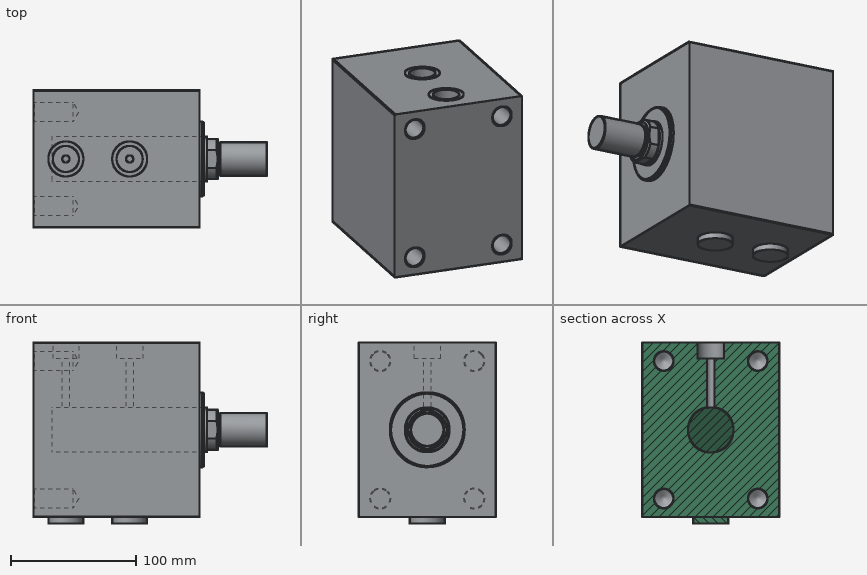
import cadquery as cq
import math


HOUSING_LENGTH = 133.0
HOUSING_WIDTH = 110.0
HOUSING_HEIGHT = 139.9
EDGE_CHAMFER = 0.5

MOUNT_SPACING_Y = 75.2
MOUNT_SPACING_Z = 110.0
MOUNT_RADIUS = 7.7
MOUNT_RIM_CHAMFER = 0.7
MOUNT_DEPTH = 31.8
DRILL_POINT_ANGLE = 118.0

PORT_STATIONS = (26.0, 77.0)
SPOTFACE_DIAMETER = 28.0
SPOTFACE_DEPTH = 0.1
PORT_DIAMETER = 21.0
PORT_DEPTH = 12.9
PASSAGE_DIAMETER = 5.8

PLUG_DIAMETER = SPOTFACE_DIAMETER
PLUG_HEIGHT = 5.0

GLAND_DIAMETER = 60.0
GLAND_THICKNESS = 3.4
GLAND_CHAMFER_LENGTH = 1.3
GLAND_CHAMFER_DEPTH = 1.1

ROD_START = 15.0
ROD_DIAMETER = 35.9
ROD_COLLAR_LENGTH = 2.5
WRENCH_START = HOUSING_LENGTH + GLAND_THICKNESS + ROD_COLLAR_LENGTH
WRENCH_DIAMETER = 35.2
WRENCH_ACROSS_FLATS = 32.2
WRENCH_END = 147.7
WRENCH_CHAMFER_LENGTH = 1.3
WRENCH_CHAMFER_DEPTH = 2.2
NECK_DIAMETER = 25.5
THREAD_START = 149.2
THREAD_DIAMETER = 27.0
THREAD_CHAMFER = 0.5
ROD_END = 187.0


def axial_cylinder(diameter, start, end):
    """Cylinder on the X axis between two stations."""
    return cq.Workplane("YZ", origin=(start, 0, 0)).circle(diameter / 2).extrude(end - start)


def end_chamfered_cylinder(diameter, start, end, chamfer_length, chamfer_depth):
    """Cylinder on the X axis whose far rim is bevelled by a given length along X and depth in radius."""
    radius = diameter / 2
    profile = [
        (start, 0),
        (start, radius),
        (end - chamfer_length, radius),
        (end, radius - chamfer_depth),
        (end, 0),
    ]
    return cq.Workplane("XY").polyline(profile).close().revolve(360, (0, 0), (1, 0))


def make_mount_hole():
    """Cutter for a blind hole along X, with a bevelled rim and a conical drill point."""
    point_length = MOUNT_RADIUS / math.tan(math.radians(DRILL_POINT_ANGLE / 2))
    profile = [
        (0, 0),
        (0, MOUNT_RADIUS + MOUNT_RIM_CHAMFER),
        (MOUNT_RIM_CHAMFER, MOUNT_RADIUS),
        (MOUNT_DEPTH, MOUNT_RADIUS),
        (MOUNT_DEPTH + point_length, 0),
    ]
    return cq.Workplane("XY").polyline(profile).close().revolve(360, (0, 0), (1, 0))


def make_port(station):
    """Cutter for a spotfaced port with a narrow passage down to the rod bore."""
    top = cq.Workplane("XY", origin=(station, 0, HOUSING_HEIGHT / 2))
    spotface = top.circle(SPOTFACE_DIAMETER / 2).extrude(-SPOTFACE_DEPTH)
    port = top.circle(PORT_DIAMETER / 2).extrude(-PORT_DEPTH)
    passage = top.circle(PASSAGE_DIAMETER / 2).extrude(-HOUSING_HEIGHT / 2)
    return spotface.union(port).union(passage)


def make_housing():
    """Block with four mounting holes, two ports and the blind rod bore."""
    block = (
        cq.Workplane("XY")
        .box(HOUSING_LENGTH, HOUSING_WIDTH, HOUSING_HEIGHT, centered=(False, True, True))
        .edges("|X")
        .chamfer(EDGE_CHAMFER)
    )
    mount_hole = make_mount_hole()
    for side_y in (-1, 1):
        for side_z in (-1, 1):
            hole_place = (0, side_y * MOUNT_SPACING_Y / 2, side_z * MOUNT_SPACING_Z / 2)
            block = block.cut(mount_hole.translate(hole_place))
    for station in PORT_STATIONS:
        block = block.cut(make_port(station))
    return block.cut(axial_cylinder(ROD_DIAMETER, ROD_START, HOUSING_LENGTH))


def make_gland():
    """Bevelled disc on the front face, bored to fit the rod."""
    gland_end = HOUSING_LENGTH + GLAND_THICKNESS
    disc = end_chamfered_cylinder(
        GLAND_DIAMETER, HOUSING_LENGTH, gland_end, GLAND_CHAMFER_LENGTH, GLAND_CHAMFER_DEPTH
    )
    return disc.cut(axial_cylinder(ROD_DIAMETER, HOUSING_LENGTH, gland_end))


def make_rod():
    """Shank with four wrench flats, a neck and a threaded end, modelled as a plain cylinder."""
    shank = axial_cylinder(ROD_DIAMETER, ROD_START, WRENCH_START)
    square_bar = cq.Workplane("XY").box(
        ROD_END, WRENCH_ACROSS_FLATS, WRENCH_ACROSS_FLATS, centered=(False, True, True)
    )
    wrench_section = end_chamfered_cylinder(
        WRENCH_DIAMETER, WRENCH_START, WRENCH_END, WRENCH_CHAMFER_LENGTH, WRENCH_CHAMFER_DEPTH
    ).intersect(square_bar)
    neck = axial_cylinder(NECK_DIAMETER, WRENCH_END, THREAD_START)
    thread = axial_cylinder(THREAD_DIAMETER, THREAD_START, ROD_END)
    thread = thread.faces("<X or >X").edges().chamfer(THREAD_CHAMFER)
    return shank.union(wrench_section).union(neck).union(thread)


def make_plug(station):
    """Round plug seated on the bottom face."""
    bottom = cq.Workplane("XY", origin=(station, 0, -HOUSING_HEIGHT / 2))
    return bottom.circle(PLUG_DIAMETER / 2).extrude(-PLUG_HEIGHT)


housing = make_housing()
gland = make_gland()
rod = make_rod()
plugs = [make_plug(station).val() for station in PORT_STATIONS]

result = cq.Compound.makeCompound([housing.val(), gland.val(), rod.val(), *plugs])